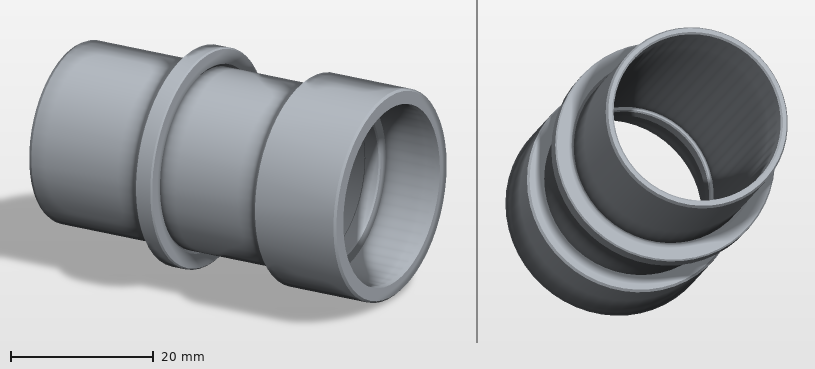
import cadquery as cq


total_length = 51.55
tube_radius = 13.15
bore_radius = 12.05
tube_edge_length = 0.5
tube_edge_depth = 0.25
bore_chamfer = 0.25
relief_start = 37.05
relief_radius = 12.45
head_start = 38.1
head_radius = 15.3
head_chamfer = 0.3
socket_radius = tube_radius
socket_floor_thickness = 2.05
socket_start = head_start + socket_floor_thickness

lock_ring_start = 19.1
lock_ring_width = 2.75
lock_ring_radius = 15.9
lock_ring_outer_chamfer = 0.2
lock_ring_bore_chamfer = 0.4

retaining_ring_width = 2.6
retaining_ring_bore_radius = 11.45
retaining_ring_chamfer = 0.2


def cylinder(start, end, radius):
    """Solid cylinder on the X axis between two X positions."""
    return cq.Workplane("YZ", origin=(start, 0, 0)).circle(radius).extrude(end - start)


def chamfered_ring(start, width, outer_radius, inner_radius, bore_chamfer_size, rim_chamfer_size=0):
    """Ring on the X axis with both ends of its bore chamfered, and its rim too if asked for."""
    end = start + width
    blank = cylinder(start, end, outer_radius)
    if rim_chamfer_size > 0:
        blank = blank.faces("<X or >X").edges().chamfer(rim_chamfer_size)
    ring = blank.cut(cylinder(start, end, inner_radius))
    bore_edges = cq.selectors.RadiusNthSelector(0)
    return ring.faces("<X or >X").edges(bore_edges).chamfer(bore_chamfer_size)


def make_housing():
    tube = cylinder(0, relief_start, tube_radius)
    tube = tube.faces("<X").chamfer(tube_edge_length, tube_edge_depth)

    relief = cylinder(relief_start, head_start, relief_radius)

    head = cylinder(head_start, total_length, head_radius)
    head = head.faces("<X or >X").edges().chamfer(head_chamfer)
    body = tube.union(relief).union(head)

    body = body.cut(cylinder(0, total_length, bore_radius))
    body = body.faces("<X").edges(cq.selectors.RadiusNthSelector(0)).chamfer(bore_chamfer)
    return body.cut(cylinder(socket_start, total_length, socket_radius))


def make_lock_ring():
    return chamfered_ring(
        lock_ring_start,
        lock_ring_width,
        lock_ring_radius,
        tube_radius,
        lock_ring_bore_chamfer,
        lock_ring_outer_chamfer,
    )


def make_retaining_ring():
    return chamfered_ring(
        socket_start,
        retaining_ring_width,
        socket_radius,
        retaining_ring_bore_radius,
        retaining_ring_chamfer,
    )


housing = make_housing()
lock_ring = make_lock_ring()
retaining_ring = make_retaining_ring()

result = cq.Compound.makeCompound([housing.val(), lock_ring.val(), retaining_ring.val()])